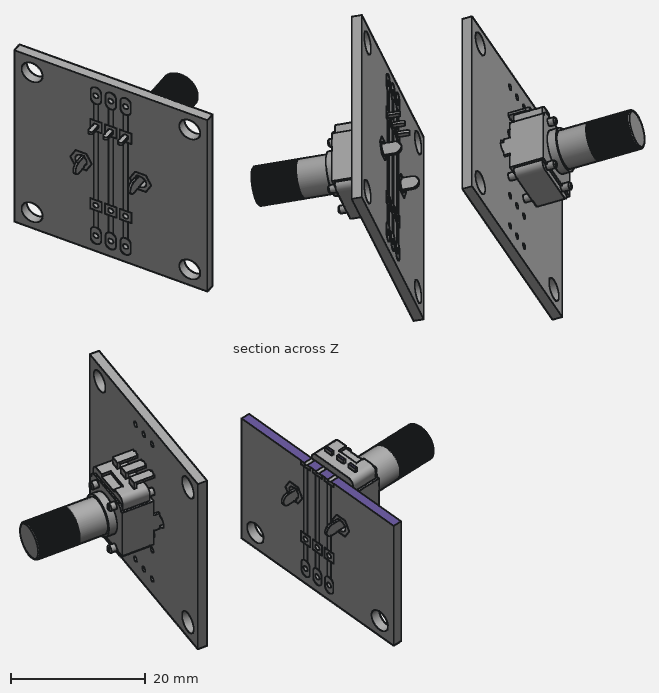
import cadquery as cq
import math


board_size = 33.02
board_thickness = 1.6
mount_hole_diameter = 3.55
mount_hole_offset = 13.47

track_thickness = 0.03
pad_thickness = 0.05
track_pitch = 2.55
track_width = 0.8
lead_hole_diameter = 0.9
lead_row_height = 7.63
square_pad_size = 1.98
end_row_height = mount_hole_offset
oval_pad_width = 1.78
oval_pad_length = 3.17
lug_hole_diameter = 1.98
lug_hole_offset = 5.1
hex_pad_flats = 3.17

shaft_height = 0.63
body_width = 8.98
body_height = 12.02
body_corner_radius = 1.05
body_start = 3.05
body_end = 7.65
notch_width = 3.83
notch_length = 1.52
notch_depth = 0.5

sheet_thickness = 0.4
plate_end = 8.0
plate_top = 5.4
bracket_top = 4.4
bracket_bottom = -4.23
bracket_start = 2.58
lip_width = body_corner_radius
shoulder_width = 3.07
lug_width = 2.1
lug_tip = -2.7

rivet_diameter = 1.22
rivet_offset = 2.75
rivet_spacing = 8.4
rivet_mid_height = 0.05
rivet_end = 9.15
rivet_chamfer = 0.23

collar_diameter = 6.8
collar_end = 9.38
shaft_diameter = 6.0
shaft_end = 21.1
shaft_chamfer = 0.23
knurl_start = 14.1
knurl_count = 60
groove_depth = 0.1
groove_rim_half_width = 0.13

lead_thickness = 0.45
lead_shoulder_width = 1.5
lead_width = 0.83
lead_bend_end = 5.05
lead_tip = -1.88
lead_corner_radius = 0.35

track_positions = [-track_pitch, 0, track_pitch]
both_sides = [-1, 1]


def section(y):
    """Sketching plane at height y above the board front: local x is X, local y is Z."""
    return cq.Workplane(cq.Plane(origin=(0, y, 0), xDir=(1, 0, 0), normal=(0, -1, 0)))


def block(x_range, y_range, z_range):
    """Box between the given pairs of limits."""
    corner = (x_range[0], y_range[0], z_range[0])
    sizes = [high - low for low, high in (x_range, y_range, z_range)]
    return cq.Workplane("XY").box(*sizes, centered=False).translate(corner)


def centered_range(middle, width):
    return (middle - width / 2, middle + width / 2)


def cylinder(diameter, y_range, centers):
    """Equal cylinders along Y at the given (x, z) centers."""
    y_start, y_end = y_range
    return section(y_end).pushPoints(centers).circle(diameter / 2).extrude(y_end - y_start)


mount_points = [(x * mount_hole_offset, z * mount_hole_offset) for x in both_sides for z in both_sides]
lead_points = [(x, z * lead_row_height) for x in track_positions for z in both_sides]
end_points = [(x, z * end_row_height) for x in track_positions for z in both_sides]
lug_points = [(x * lug_hole_offset, 0) for x in both_sides]


def make_board():
    board = section(board_thickness).rect(board_size, board_size).extrude(board_thickness)

    face = section(0)
    tracks = face.pushPoints([(x, 0) for x in track_positions]).rect(track_width, 2 * end_row_height)
    board = board.union(tracks.extrude(track_thickness))
    squares = face.pushPoints(lead_points).rect(square_pad_size, square_pad_size)
    board = board.union(squares.extrude(pad_thickness))
    ovals = face.pushPoints(end_points).slot2D(oval_pad_length, oval_pad_width, 90)
    board = board.union(ovals.extrude(pad_thickness))
    hex_corners = hex_pad_flats / math.cos(math.pi / 6)
    hexagons = face.pushPoints(lug_points).polygon(6, hex_corners)
    board = board.union(hexagons.extrude(pad_thickness))

    through = (-pad_thickness, board_thickness)
    board = board.cut(cylinder(mount_hole_diameter, through, mount_points))
    board = board.cut(cylinder(lead_hole_diameter, through, lead_points + end_points))
    return board.cut(cylinder(lug_hole_diameter, through, lug_points))


def make_body():
    body = block(
        centered_range(0, body_width),
        (body_start, body_end),
        centered_range(shaft_height, body_height),
    )
    body = body.edges("|Y").fillet(body_corner_radius)
    body_top = shaft_height + body_height / 2
    notch = block(
        centered_range(0, notch_width),
        (body_end - notch_length, body_end),
        (body_top - notch_depth, body_top),
    )
    return body.cut(notch)


def make_bracket():
    half_width = body_width / 2
    outer = half_width + sheet_thickness
    walls = (bracket_bottom, bracket_top)

    plate = block((-half_width, half_width), (body_end, plate_end), (bracket_bottom, plate_top))
    plate = plate.edges("|Y and >Z").fillet(body_corner_radius)
    bracket = plate.union(block((-outer, outer), (body_end, plate_end), walls))

    for side in both_sides:
        wall_x = sorted((side * half_width, side * outer))
        lip_x = sorted((side * (half_width - lip_width), side * half_width))
        bracket = bracket.union(block(wall_x, (bracket_start, plate_end), walls))
        bracket = bracket.union(block(lip_x, (bracket_start, body_start), walls))

        shoulder = block(wall_x, (board_thickness, bracket_start), centered_range(0, shoulder_width))
        lug_radius = lug_width / 2
        tip_center = lug_tip + lug_radius
        lug = block(wall_x, (tip_center, board_thickness), centered_range(0, lug_width))
        tip_plane = cq.Workplane("YZ", origin=(wall_x[0], 0, 0))
        tip = tip_plane.center(tip_center, 0).circle(lug_radius).extrude(sheet_thickness)
        bracket = bracket.union(shoulder).union(lug).union(tip)
    return bracket


def make_rivets():
    centers = [
        (x * rivet_offset, rivet_mid_height + z * rivet_spacing / 2)
        for x in both_sides
        for z in both_sides
    ]
    return cylinder(rivet_diameter, (board_thickness, rivet_end), centers).faces(">Y").chamfer(rivet_chamfer)


def make_shaft():
    axis = [(0, shaft_height)]
    radius = shaft_diameter / 2
    collar = cylinder(collar_diameter, (plate_end, collar_end), axis)
    shaft = cylinder(shaft_diameter, (collar_end, shaft_end), axis).faces(">Y").chamfer(shaft_chamfer)

    knurl_end = shaft_end - shaft_chamfer
    rim_height = shaft_height + radius + groove_depth
    groove = (
        section(knurl_end)
        .moveTo(0, shaft_height + radius - groove_depth)
        .lineTo(groove_rim_half_width, rim_height)
        .lineTo(-groove_rim_half_width, rim_height)
        .close()
        .extrude(knurl_end - knurl_start)
    )
    grooves = []
    for index in range(knurl_count):
        angle = 360 * (index + 0.5) / knurl_count
        grooves.append(groove.rotate((0, 0, shaft_height), (0, 1, shaft_height), angle).val())
    return collar.union(shaft.cut(cq.Compound.makeCompound(grooves)))


def make_lead(x):
    outer_z = lead_row_height + lead_thickness / 2
    inner_z = lead_row_height - lead_thickness / 2
    body_top = shaft_height + body_height / 2
    wide = centered_range(x, lead_shoulder_width)
    foot = block(wide, (lead_bend_end - lead_thickness, lead_bend_end), (body_top, outer_z))
    shank = block(wide, (board_thickness, lead_bend_end), (inner_z, outer_z))
    pin = block(centered_range(x, lead_width), (lead_tip, board_thickness), (inner_z, outer_z))
    pin = pin.edges("|Z and <Y").fillet(lead_corner_radius)
    return foot.union(shank).union(pin)


result = make_board().union(make_body()).union(make_bracket()).union(make_rivets()).union(make_shaft())
for position in track_positions:
    result = result.union(make_lead(position))